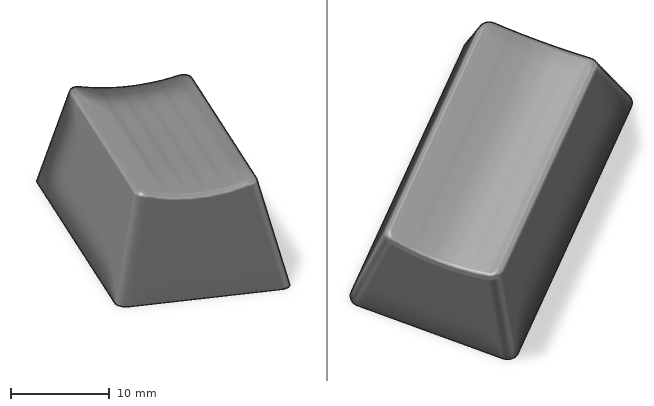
import cadquery as cq

base_length = 32.59
base_width = 18.3
wall_draft = 14.0

dish_floor_height = 10.4
dish_radius = 20.7

corner_radius = 1.25
rim_radius = 0.6

trim_allowance = 2.0
block_height = dish_floor_height + trim_allowance


def drafted_block():
    """Rectangular block whose four walls lean inward, with rounded corner edges."""
    block = cq.Workplane("XY").rect(base_length, base_width).extrude(block_height, taper=wall_draft)
    corner_edges = block.edges("not(|X or |Y)")
    return corner_edges.fillet(corner_radius)


def dish_cutter():
    """Cylinder along X whose lowest line lies on the dish floor."""
    axis_height = dish_floor_height + dish_radius
    return (
        cq.Workplane("YZ")
        .center(0, axis_height)
        .circle(dish_radius)
        .extrude(base_length / 2, both=True)
    )


def round_rim(body):
    """Round the whole loop of edges around the dish."""
    dish_face = body.faces(cq.selectors.NearestToPointSelector((0, 0, dish_floor_height)))
    return dish_face.edges().fillet(rim_radius)


dished_block = drafted_block().cut(dish_cutter())
result = round_rim(dished_block)